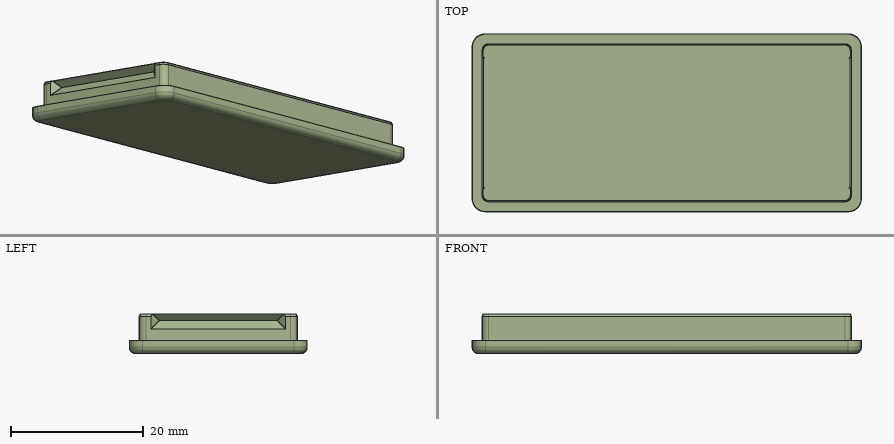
import cadquery as cq

base_length = 58.8
base_width = 26.9
base_height = 2.0
base_corner_radius = 2.0
base_bottom_fillet = base_height / 2

total_height = 6.0
block_length = 55.8
block_width = 23.9
block_height = total_height - base_height
block_corner_radius = 1.0
block_chamfer_height = 0.35
block_chamfer_inset = 0.2

recess_mouth_width = 20.3
recess_depth = 1.25
recess_ridge_z = 5.0


def make_base():
    return (
        cq.Workplane("XY")
        .rect(base_length, base_width)
        .extrude(base_height)
        .edges("|Z")
        .fillet(base_corner_radius)
        .faces("<Z")
        .edges()
        .fillet(base_bottom_fillet)
    )


def make_block():
    return (
        cq.Workplane("XY", origin=(0, 0, base_height))
        .rect(block_length, block_width)
        .extrude(block_height)
        .edges("|Z")
        .fillet(block_corner_radius)
        .faces(">Z")
        .edges()
        .chamfer(block_chamfer_height, block_chamfer_inset)
    )


def make_recess():
    """Wedge at the -X end of the block, narrowing inward to a ridge along Y."""
    mouth_x = -block_length / 2
    ridge_x = mouth_x + recess_depth
    half_mouth = recess_mouth_width / 2
    half_ridge = half_mouth - recess_depth

    side_profile = (
        cq.Workplane("XZ")
        .moveTo(mouth_x, recess_ridge_z - recess_depth)
        .lineTo(ridge_x, recess_ridge_z)
        .lineTo(mouth_x, recess_ridge_z + recess_depth)
        .close()
        .extrude(half_mouth, both=True)
    )
    plan_profile = (
        cq.Workplane("XY")
        .moveTo(mouth_x, -half_mouth)
        .lineTo(ridge_x, -half_ridge)
        .lineTo(ridge_x, half_ridge)
        .lineTo(mouth_x, half_mouth)
        .close()
        .extrude(recess_ridge_z + recess_depth)
    )
    return side_profile.intersect(plan_profile)


recess = make_recess()
result = make_base().union(make_block())
result = result.cut(recess).cut(recess.mirror("YZ"))